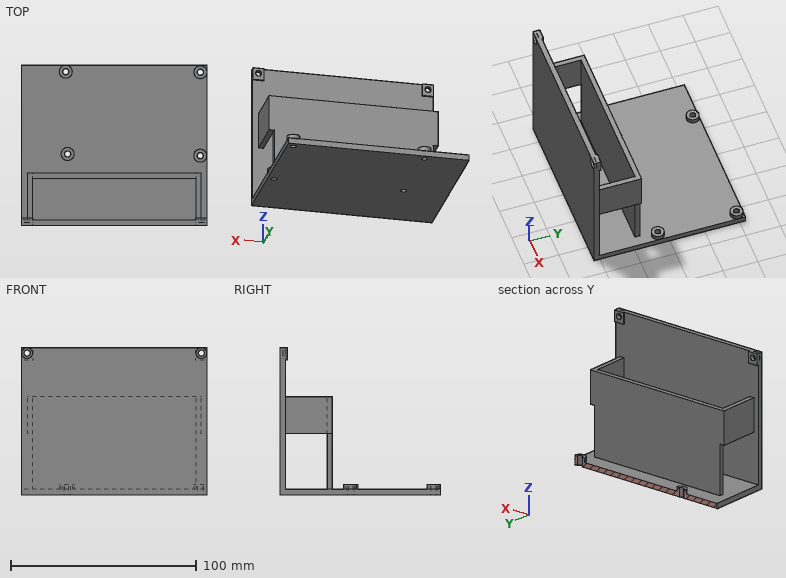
import cadquery as cq

width = 100.4
depth = 86.7
height = 79.7
wall_thickness = 3.0
base_thickness = 3.2

lug_width = 6.2
lug_depth = 4.0
lug_height = 6.8
screw_hole_side_inset = 3.1
screw_hole_top_inset = 3.0
screw_hole_diameter = 3.2
counterbore_diameter = 5.8
counterbore_depth = 1.6

frame_inset = 3.2
frame_wall = 2.8
frame_back = 28.3
frame_bottom = 33.1
frame_top = 53.2

standoff_diameter = 7.0
standoff_height = 2.5
standoff_places = [(24.0, 3.6), (96.8, 3.9), (25.0, 48.1), (96.7, 49.0)]


def block(x0, x1, y0, y1, z0, z1):
    """Box spanning the given limits along each axis."""
    return cq.Workplane("XY").box(x1 - x0, y1 - y0, z1 - z0, centered=False).translate((x0, y0, z0))


def wall_cylinder(x, diameter, length):
    """Cylinder running back from the front face at screw hole height."""
    start = cq.Vector(x, 0, height - screw_hole_top_inset)
    return cq.Solid.makeCylinder(diameter / 2, length, start, cq.Vector(0, 1, 0))


def make_frame():
    """Open frame joined to the front wall, with its support panel."""
    inner_left = frame_inset + frame_wall
    inner_right = width - inner_left
    inner_back = frame_back - frame_wall
    frame = block(frame_inset, width - frame_inset, 0, frame_back, frame_bottom, frame_top)
    opening = block(inner_left, inner_right, wall_thickness, inner_back, frame_bottom, frame_top)
    panel = block(inner_left, inner_right, inner_back, frame_back, 0, frame_bottom)
    return frame.cut(opening).union(panel)


base = block(0, width, 0, depth, 0, base_thickness)
wall = block(0, width, 0, wall_thickness, 0, height)
result = base.union(wall).union(make_frame())

for left in (0, width - lug_width):
    result = result.union(block(left, left + lug_width, 0, lug_depth, height - lug_height, height))

for x in (screw_hole_side_inset, width - screw_hole_side_inset):
    result = result.cut(wall_cylinder(x, screw_hole_diameter, lug_depth))
    result = result.cut(wall_cylinder(x, counterbore_diameter, counterbore_depth))

standoff_points = [(x, depth - from_rear) for x, from_rear in standoff_places]
standoff_top = base_thickness + standoff_height
standoffs = cq.Workplane("XY").pushPoints(standoff_points).circle(standoff_diameter / 2).extrude(standoff_top)
holes = cq.Workplane("XY").pushPoints(standoff_points).circle(screw_hole_diameter / 2).extrude(standoff_top)
standoffs = standoffs.intersect(block(0, width, 0, depth, 0, standoff_top))
result = result.union(standoffs).cut(holes)